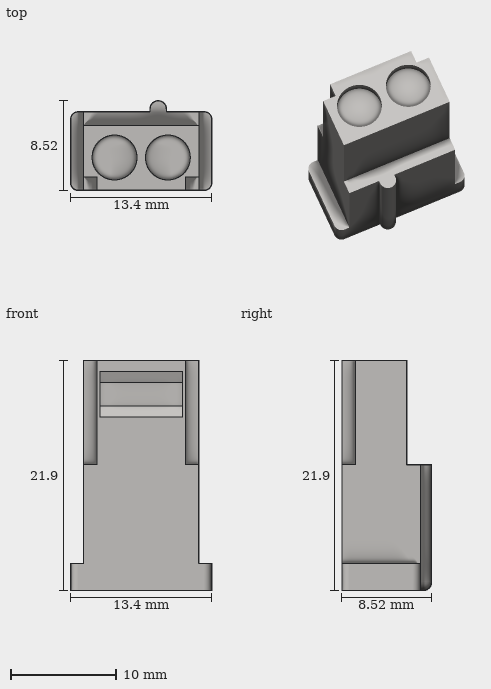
import cadquery as cq

total_height = 21.85
body_width = 10.96
body_depth = 7.47
shoulder_height = 11.95
step = 1.29

flange_width = 13.4
flange_height = 2.58
flange_corner_radius = 0.72

socket_diameter = 4.25
socket_spacing = 5.07
socket_y = 3.12
socket_depth = 1.03

recess_width = 7.86
recess_height = 4.3
recess_top_margin = 1.05
recess_slope_height = 1.05
recess_depth = 0.35

rib_x = 1.62
rib_radius = 0.79
rib_projection = 1.05


def block(width, depth, height):
    """Box centred on x, with its front face at y = 0 and base at z = 0."""
    return cq.Workplane("XY").box(width, depth, height, centered=(True, False, False))


def make_body():
    lower = block(body_width, body_depth, shoulder_height)
    upper = block(body_width, body_depth - step, total_height)
    flange = block(flange_width, body_depth, flange_height).edges("|Z").fillet(flange_corner_radius)
    return lower.union(upper).union(flange)


def make_corner_notches():
    return (
        cq.Workplane("XY")
        .workplane(offset=shoulder_height)
        .pushPoints([(side * (body_width - step) / 2, step / 2) for side in (-1, 1)])
        .rect(step, step)
        .extrude(total_height - shoulder_height)
    )


def make_sockets():
    return (
        cq.Workplane("XY")
        .workplane(offset=total_height - socket_depth)
        .pushPoints([(side * socket_spacing / 2, socket_y) for side in (-1, 1)])
        .circle(socket_diameter / 2)
        .extrude(socket_depth)
    )


def make_recess():
    top = total_height - recess_top_margin
    bottom = top - recess_height
    return (
        cq.Workplane("YZ")
        .moveTo(0, bottom)
        .lineTo(recess_depth, bottom + recess_slope_height)
        .lineTo(recess_depth, top - recess_slope_height)
        .lineTo(0, top)
        .close()
        .extrude(recess_width / 2, both=True)
    )


def make_rib():
    nose_y = body_depth + rib_projection - rib_radius
    neck_start = body_depth - rib_radius
    neck_length = nose_y - neck_start
    straight_height = shoulder_height - rib_radius
    nose = (
        cq.Workplane("XY")
        .workplane(offset=rib_radius)
        .center(rib_x, nose_y)
        .circle(rib_radius)
        .extrude(straight_height)
    )
    tip = cq.Workplane("XY").sphere(rib_radius).translate((rib_x, nose_y, rib_radius))
    neck = block(2 * rib_radius, neck_length, straight_height).translate((rib_x, neck_start, rib_radius))
    neck_end = (
        cq.Workplane("XZ", origin=(rib_x, neck_start, rib_radius))
        .circle(rib_radius)
        .extrude(-neck_length)
    )
    return nose.union(tip).union(neck).union(neck_end)


def make_housing():
    housing = make_body().union(make_rib())
    return housing.cut(make_corner_notches()).cut(make_sockets()).cut(make_recess())


result = make_housing()